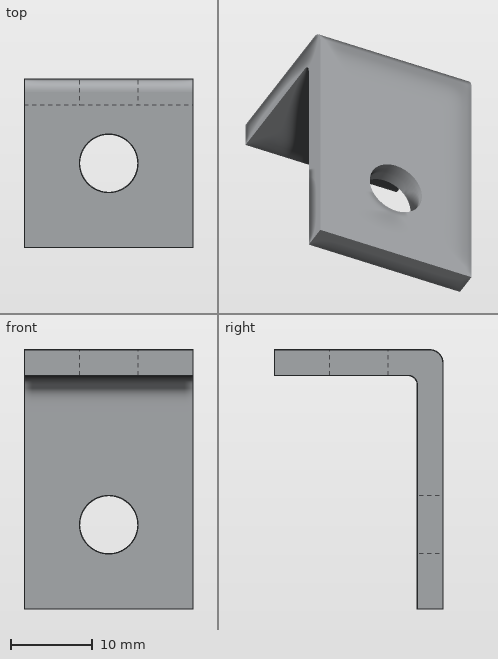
import cadquery as cq

width = 20.65
height = 31.75
thickness = 3.18
outer_bend_radius = 1.65
inner_bend_radius = 1.1
hole_diameter = 7.1

depth = width
hole_offset = width / 2


def bracket_body():
    """L-shaped angle: upright leg at the back (+Y), flat leg on top."""
    upright_front = depth - thickness
    top_underside = height - thickness
    return (
        cq.Workplane("YZ")
        .moveTo(upright_front, 0)
        .lineTo(depth, 0)
        .lineTo(depth, height - outer_bend_radius)
        .radiusArc((depth - outer_bend_radius, height), -outer_bend_radius)
        .lineTo(0, height)
        .lineTo(0, top_underside)
        .lineTo(upright_front - inner_bend_radius, top_underside)
        .radiusArc((upright_front, top_underside - inner_bend_radius), inner_bend_radius)
        .close()
        .extrude(width)
    )


def hole_cutter(base, direction):
    """Cylinder that passes through one leg."""
    return cq.Workplane(
        cq.Solid.makeCylinder(hole_diameter / 2, thickness, cq.Vector(*base), cq.Vector(*direction))
    )


upright_hole = hole_cutter((width / 2, depth - thickness, hole_offset), (0, 1, 0))
top_hole = hole_cutter((width / 2, hole_offset, height - thickness), (0, 0, 1))

result = bracket_body().cut(upright_hole).cut(top_hole)